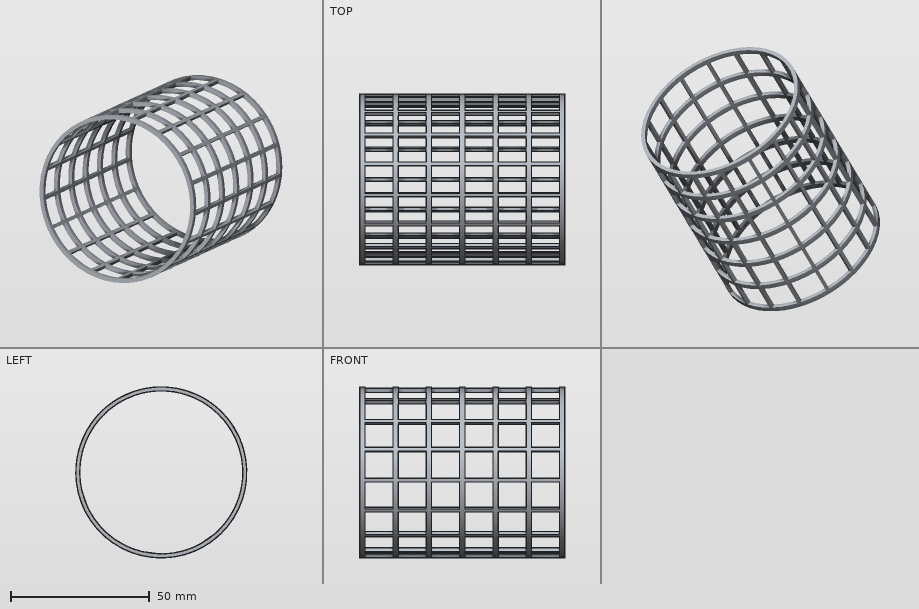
import cadquery as cq

length = 74.0
outer_diameter = 61.7
wall = 1.5
ring_count = 7
ring_width = 2.0
bar_count = 17
bar_width = 1.3

outer_radius = outer_diameter / 2
inner_radius = outer_radius - wall
ring_pitch = (length - ring_width) / (ring_count - 1)
bar_pitch = 360 / bar_count


def tube(start, tube_length):
    """Tube of the cage wall, starting at X = start."""
    return (
        cq.Workplane("YZ", origin=(start, 0, 0))
        .circle(outer_radius)
        .circle(inner_radius)
        .extrude(tube_length)
    )


def wedge(angle):
    """Full-length wedge from the axis past the wall, turned about X from the bottom."""
    reach = outer_radius + wall
    half_width = bar_width / 2 * reach / outer_radius
    return (
        cq.Workplane("YZ", origin=(-length / 2, 0, 0))
        .polyline([(0, 0), (half_width, -reach), (-half_width, -reach)])
        .close()
        .extrude(length)
        .rotate((0, 0, 0), (1, 0, 0), angle)
    )


cage = tube(-length / 2, ring_width)
for i in range(1, ring_count):
    cage = cage.union(tube(-length / 2 + i * ring_pitch, ring_width))

full_wall = tube(-length / 2, length)
for i in range(bar_count):
    cage = cage.union(wedge(i * bar_pitch).intersect(full_wall))

result = cage